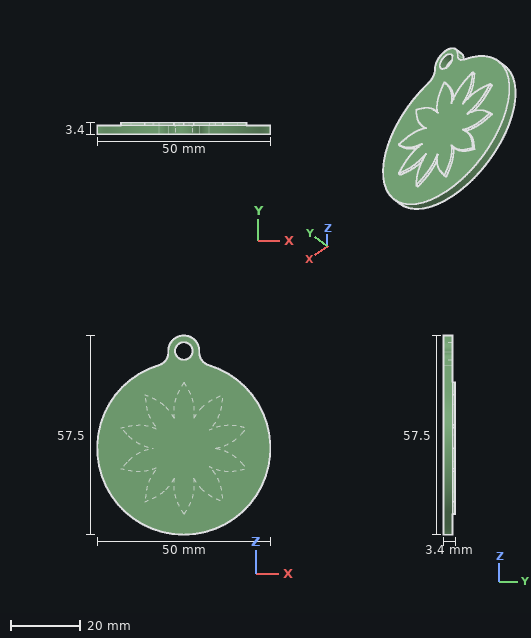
import cadquery as cq
import math

total_thickness = 3.4
flower_thickness = 0.76
disc_thickness = total_thickness - flower_thickness
disc_radius = 25.0
ring_radius = 4.5
ring_hole_diameter = 5.0
neck_fillet_radius = 3.8
ring_center_z = 28.0

petal_count = 10
first_petal_angle = 90.0
petal_pitch = 360.0 / petal_count
petal_tip_radius = 19.05
petal_tip_half_angle = 30.0
petal_tip_edge = 2.83
petal_side_radius = 25.4 / 2
valley_radius = 9.0


def polar(radius, angle_degrees):
    """Point (x, z) at a radius and at an angle counter-clockwise from +X."""
    angle = math.radians(angle_degrees)
    return radius * math.cos(angle), radius * math.sin(angle)


def make_disc():
    """Disc with a hanging ring, blended by a concave fillet on each side of the neck."""
    to_disc = disc_radius + neck_fillet_radius
    to_ring = ring_radius + neck_fillet_radius
    fillet_z = (to_disc**2 - to_ring**2 + ring_center_z**2) / (2 * ring_center_z)
    fillet_x = math.sqrt(to_disc**2 - fillet_z**2)

    disc_touch_x = fillet_x * disc_radius / to_disc
    disc_touch_z = fillet_z * disc_radius / to_disc
    ring_touch_x = fillet_x * ring_radius / to_ring
    ring_touch_z = ring_center_z + (fillet_z - ring_center_z) * ring_radius / to_ring

    chord_x = (disc_touch_x + ring_touch_x) / 2 - fillet_x
    chord_z = (disc_touch_z + ring_touch_z) / 2 - fillet_z
    reach = neck_fillet_radius / math.hypot(chord_x, chord_z)
    fillet_mid_x = fillet_x + chord_x * reach
    fillet_mid_z = fillet_z + chord_z * reach

    outline = (
        cq.Workplane("XZ")
        .moveTo(disc_touch_x, disc_touch_z)
        .threePointArc((fillet_mid_x, fillet_mid_z), (ring_touch_x, ring_touch_z))
        .threePointArc((0, ring_center_z + ring_radius), (-ring_touch_x, ring_touch_z))
        .threePointArc((-fillet_mid_x, fillet_mid_z), (-disc_touch_x, disc_touch_z))
        .threePointArc((0, -disc_radius), (disc_touch_x, disc_touch_z))
        .close()
    )
    ring_hole = (
        cq.Workplane("XZ")
        .center(0, ring_center_z)
        .circle(ring_hole_diameter / 2)
        .extrude(-disc_thickness)
    )
    return outline.extrude(-disc_thickness).cut(ring_hole)


def make_flower():
    """Ten pointed petals, each with a straight-edged tip and sides curving in to the valleys."""
    tip_angle = math.radians(petal_tip_half_angle)
    shoulder_along = petal_tip_radius - petal_tip_edge * math.cos(tip_angle)
    shoulder_across = petal_tip_edge * math.sin(tip_angle)

    half_pitch = petal_pitch / 2
    valley_along, valley_across = polar(valley_radius, half_pitch)
    chord_along = shoulder_along - valley_along
    chord_across = shoulder_across - valley_across
    chord = math.hypot(chord_along, chord_across)
    bulge = petal_side_radius - math.sqrt(petal_side_radius**2 - (chord / 2) ** 2)
    side_along = (shoulder_along + valley_along) / 2 - bulge * chord_across / chord
    side_across = (shoulder_across + valley_across) / 2 + bulge * chord_along / chord

    shoulder_radius = math.hypot(shoulder_along, shoulder_across)
    shoulder_angle = math.degrees(math.atan2(shoulder_across, shoulder_along))
    side_radius = math.hypot(side_along, side_across)
    side_angle = math.degrees(math.atan2(side_across, side_along))

    outline = (
        cq.Workplane("XZ")
        .workplane(offset=-disc_thickness)
        .moveTo(*polar(valley_radius, first_petal_angle - half_pitch))
    )
    for petal in range(petal_count):
        direction = first_petal_angle + petal * petal_pitch
        outline = (
            outline
            .threePointArc(
                polar(side_radius, direction - side_angle),
                polar(shoulder_radius, direction - shoulder_angle),
            )
            .lineTo(*polar(petal_tip_radius, direction))
            .lineTo(*polar(shoulder_radius, direction + shoulder_angle))
            .threePointArc(
                polar(side_radius, direction + side_angle),
                polar(valley_radius, direction + half_pitch),
            )
        )
    return outline.close().extrude(-flower_thickness)


disc = make_disc()
flower = make_flower()
result = cq.Compound.makeCompound([disc.val(), flower.val()])